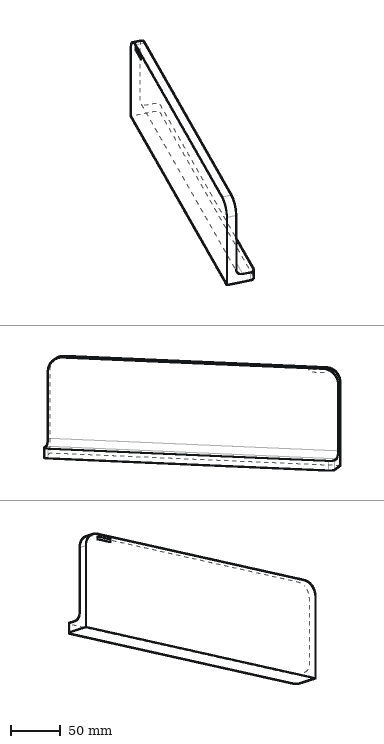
import cadquery as cq

length = 300.0
depth = 30.0
height = length / 3

thickness = depth / 3
inner_fillet = 7.0
wall_corner_radius = 15.0
foot_corner_radius = thickness / 2

recess_length = 17.5
recess_height = 3.0
recess_depth = 0.15
recess_top_gap = 2.7
recess_start = -length / 2 + wall_corner_radius

wall = (
    cq.Workplane("XY")
    .box(length, thickness, height, centered=(True, False, False))
    .edges("|Y and >Z")
    .fillet(wall_corner_radius)
)

foot = (
    cq.Workplane("XY")
    .box(length, depth, thickness, centered=(True, False, False))
    .edges("|Z and >Y")
    .fillet(foot_corner_radius)
)

inner_corner = cq.selectors.NearestToPointSelector((0, thickness, thickness))
bracket = wall.union(foot).edges(inner_corner).fillet(inner_fillet)

recess = (
    cq.Workplane("XY")
    .box(recess_length, recess_depth, recess_height, centered=False)
    .translate((recess_start, 0, height - recess_top_gap - recess_height))
)

result = bracket.cut(recess)